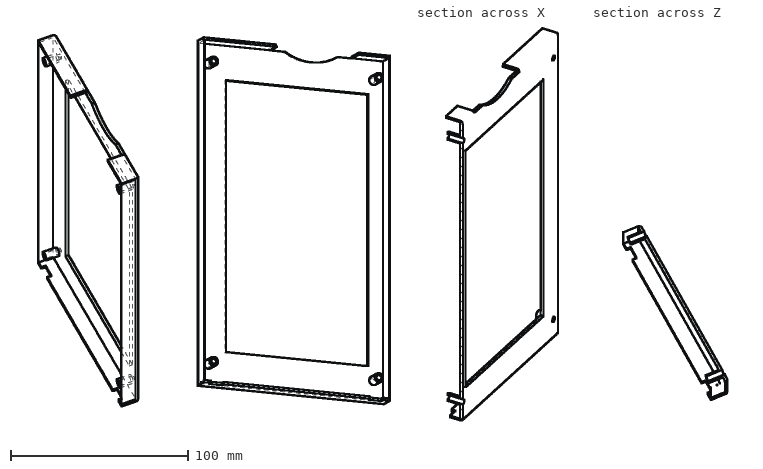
import cadquery as cq

width = 114.2
depth = 11.0
height = 200.3
plate_thickness = 2.0
side_wall = 0.6
end_wall = 1.5
back_fillet = 1.9

window_left = 17.5
window_right = 104.8
window_margin = 21.2

gap_left = 44.0
gap_right = 95.1
gap_end_slope = 0.6
scoop_chord = 32.5
scoop_drop = 4.6

boss_inset_x = 6.5
boss_inset_z = 13.0
boss_diameter = 5.2
boss_bore = 3.0
boss_length = 8.0

notch_inset = 4.5
notch_width = 7.8
notch_depth = 2.6

plate_front = depth - plate_thickness
wall_base = height - end_wall
gap_center = (gap_left + gap_right) / 2


def box(x0, x1, y0, y1, z0, z1):
    """Box between two opposite corners."""
    return cq.Workplane("XY").box(x1 - x0, y1 - y0, z1 - z0, centered=False).translate((x0, y0, z0))


def extrude_back(sketch, y0, length):
    """Extrude an XZ outline toward +Y, starting at y0."""
    return sketch.extrude(-length).translate((0, y0, 0))


def make_tray():
    """Shallow tray with rounded back edges and a window."""
    outer = box(0, width, 0, depth, 0, height).faces(">Y").edges().fillet(back_fillet)
    cavity = box(side_wall, width - side_wall, 0, plate_front, end_wall, wall_base)
    window = box(window_left, window_right, 0, depth, window_margin, height - window_margin)
    return outer.cut(cavity).cut(window)


def make_top_gap():
    """Cutter that removes the top wall between two sloped ends."""
    outline = cq.Workplane("XZ").polyline([
        (gap_left + gap_end_slope, wall_base),
        (gap_right - gap_end_slope, wall_base),
        (gap_right, height),
        (gap_left, height),
    ]).close()
    return extrude_back(outline, 0, depth)


def make_finger_scoop():
    """Cylindrical cutter for the shallow arc in the plate's top edge."""
    radius = ((scoop_chord / 2) ** 2 + scoop_drop ** 2) / (2 * scoop_drop)
    center_z = wall_base - scoop_drop + radius
    outline = cq.Workplane("XZ").center(gap_center, center_z).circle(radius)
    return extrude_back(outline, plate_front, plate_thickness)


def boss_cylinders(diameter, y0, length):
    """One cylinder at each of the four boss positions."""
    centers = [
        (x, z)
        for x in (boss_inset_x, width - boss_inset_x)
        for z in (boss_inset_z, height - boss_inset_z)
    ]
    return extrude_back(cq.Workplane("XZ").pushPoints(centers).circle(diameter / 2), y0, length)


result = make_tray().cut(make_top_gap()).cut(make_finger_scoop())

boss_front = plate_front - boss_length
result = result.union(boss_cylinders(boss_diameter, boss_front, boss_length))
result = result.cut(boss_cylinders(boss_bore, boss_front, depth - boss_front))

for notch_left in (notch_inset, width - notch_inset - notch_width):
    result = result.cut(box(notch_left, notch_left + notch_width, 0, notch_depth, 0, end_wall))